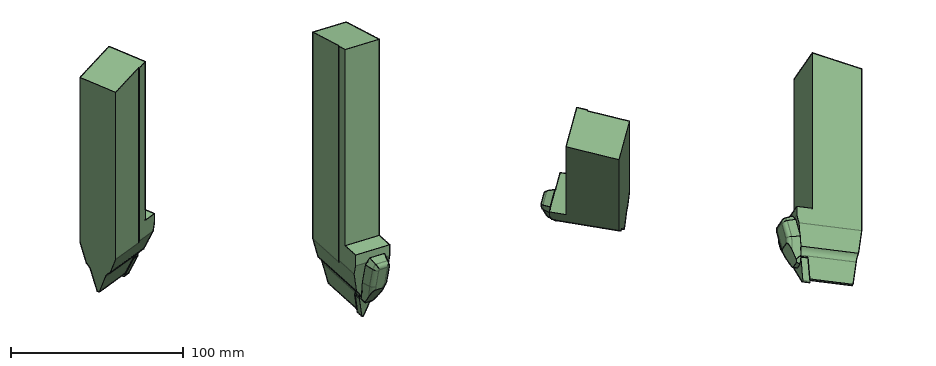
import cadquery as cq
import math

TOTAL_LENGTH = 171.4
WIDTH = 24.8
HALF_WIDTH = WIDTH / 2
SHANK_DEPTH = 31.7
HEAD_DEPTH = 41.6
LEDGE_Z = 47.8
RELIEF_DEPTH = 0.5
RELIEF_REACH = 25.2

TILT = 14.0
TILT_SIN = math.sin(math.radians(TILT))
TILT_COS = math.cos(math.radians(TILT))

POINT_ANGLE = 35.0
HALF_POINT = math.radians(POINT_ANGLE / 2)
INSERT_CIRCLE = 9.53
INSERT_THICKNESS = 4.8
INSERT_POINT_Y = 32.0
NOSE_RADIUS = 0.7

SEAT_REACH = INSERT_POINT_Y * TILT_COS
POINT_RISE = INSERT_POINT_Y * TILT_SIN
HALF_INSERT = INSERT_CIRCLE / 2 / math.sin(HALF_POINT)
SHARP_OFFSET = NOSE_RADIUS / math.sin(HALF_POINT) - NOSE_RADIUS
INSERT_CENTER_RISE = POINT_RISE + HALF_INSERT - SHARP_OFFSET

NOSE_RISE = 10.0
NOSE_HALF_WIDTH = 0.7
COVE_HALF_WIDTH = 5.0
COVE_LOW_RISE = NOSE_RISE + (COVE_HALF_WIDTH - NOSE_HALF_WIDTH) / math.tan(HALF_POINT)
COVE_TOP_HALF_WIDTH = 8.0
COVE_TOP_RISE = 27.8
COVE_SAG = 0.5
SHOULDER_RISE = COVE_TOP_RISE + (HALF_WIDTH - COVE_TOP_HALF_WIDTH) / math.tan(HALF_POINT)

CLAMP_LEFT = -10.3
CLAMP_RIGHT = 5.0
CLAMP_HEIGHT = 7.2
CLAMP_DRAFT = 17.0
CLAMP_TIP_LEFT = -4.1
CLAMP_TIP_RIGHT = 3.3
CLAMP_TIP_RISE = 18.8
CLAMP_NOSE_RISE = 23.1
CLAMP_NOSE_CORNER = 1.9
CLAMP_TIP_HEIGHT = 2.0
CLAMP_TAPER_RISE = 33.4
CLAMP_SLOPE_RISE = 31.4
CLAMP_CORNER_RISE = 46.0
CLAMP_TOP_RISE = 50.2
CLAMP_CORNER_WIDTH = 2.2
CLAMP_EDGE_RADIUS = 3.0

BLANK_REACH = 102.8


def tilted_plane(reach):
    """Plane across the tilted direction: x to +X, y up the seat, normal to the front."""
    origin = (0, reach * TILT_COS, -reach * TILT_SIN)
    return cq.Plane(origin=origin, xDir=(1, 0, 0), normal=(0, -TILT_COS, TILT_SIN))


def make_side_profile():
    """Shank and head outline in YZ, extruded over the full width."""
    ledge_low_z = LEDGE_Z - (HEAD_DEPTH - SHANK_DEPTH) * TILT_SIN / TILT_COS
    seat_start_z = (HEAD_DEPTH * TILT_COS - SEAT_REACH) / TILT_SIN
    return (
        cq.Workplane("YZ", origin=(-HALF_WIDTH, 0, 0))
        .moveTo(0, 0)
        .lineTo(0, TOTAL_LENGTH)
        .lineTo(SHANK_DEPTH, TOTAL_LENGTH)
        .lineTo(SHANK_DEPTH, LEDGE_Z)
        .lineTo(HEAD_DEPTH, ledge_low_z)
        .lineTo(HEAD_DEPTH, seat_start_z)
        .lineTo(INSERT_POINT_Y, 0)
        .close()
        .extrude(WIDTH)
    )


def cove_middle(side):
    """Middle point of the concave arc between the two wedge flanks."""
    run = COVE_TOP_HALF_WIDTH - COVE_HALF_WIDTH
    rise = COVE_TOP_RISE - COVE_LOW_RISE
    chord = math.hypot(run, rise)
    x = (COVE_TOP_HALF_WIDTH + COVE_HALF_WIDTH) / 2 - COVE_SAG * rise / chord
    y = (COVE_TOP_RISE + COVE_LOW_RISE) / 2 + COVE_SAG * run / chord
    return (side * x, y)


def make_wedge():
    """Pointed outline of the holder, extruded along the tilted direction."""
    top = TOTAL_LENGTH + BLANK_REACH
    return (
        cq.Workplane(tilted_plane(BLANK_REACH))
        .moveTo(-HALF_WIDTH, top)
        .lineTo(-HALF_WIDTH, SHOULDER_RISE)
        .lineTo(-COVE_TOP_HALF_WIDTH, COVE_TOP_RISE)
        .threePointArc(cove_middle(-1), (-COVE_HALF_WIDTH, COVE_LOW_RISE))
        .lineTo(-NOSE_HALF_WIDTH, NOSE_RISE)
        .lineTo(NOSE_HALF_WIDTH, NOSE_RISE)
        .lineTo(COVE_HALF_WIDTH, COVE_LOW_RISE)
        .threePointArc(cove_middle(1), (COVE_TOP_HALF_WIDTH, COVE_TOP_RISE))
        .lineTo(HALF_WIDTH, SHOULDER_RISE)
        .lineTo(HALF_WIDTH, top)
        .close()
        .extrude(2 * BLANK_REACH)
    )


def make_relief():
    """Shallow step removed from the +X side beside the front face."""
    return (
        cq.Workplane("XY", origin=(HALF_WIDTH - RELIEF_DEPTH, 0, 0))
        .box(RELIEF_DEPTH, RELIEF_REACH, TOTAL_LENGTH, centered=False)
    )


def make_clamp():
    """Clamp standing on the seat: a drafted plan trimmed to the side profile."""
    seat_origin = (0, SEAT_REACH * TILT_COS, -SEAT_REACH * TILT_SIN)
    outward = cq.Plane(origin=seat_origin, xDir=(-1, 0, 0), normal=(0, TILT_COS, -TILT_SIN))
    clamp = (
        cq.Workplane(outward)
        .polyline([
            (-CLAMP_TIP_RIGHT, CLAMP_TIP_RISE),
            (-CLAMP_RIGHT, CLAMP_TAPER_RISE),
            (-CLAMP_RIGHT, CLAMP_CORNER_RISE),
            (CLAMP_CORNER_WIDTH - CLAMP_RIGHT, CLAMP_TOP_RISE),
            (-CLAMP_CORNER_WIDTH - CLAMP_LEFT, CLAMP_TOP_RISE),
            (-CLAMP_LEFT, CLAMP_CORNER_RISE),
            (-CLAMP_LEFT, CLAMP_TAPER_RISE),
            (-CLAMP_TIP_LEFT, CLAMP_TIP_RISE),
        ])
        .close()
        .extrude(CLAMP_HEIGHT, taper=CLAMP_DRAFT)
        .faces(cq.selectors.DirectionMinMaxSelector(outward.zDir, True))
        .edges()
        .fillet(CLAMP_EDGE_RADIUS)
    )
    side = cq.Plane(origin=seat_origin, xDir=(0, TILT_SIN, TILT_COS), normal=(-1, 0, 0))
    slope_cut = (
        cq.Workplane(side)
        .polyline([
            (CLAMP_SLOPE_RISE, CLAMP_HEIGHT),
            (CLAMP_TIP_RISE, CLAMP_TIP_HEIGHT),
            (CLAMP_TIP_RISE, CLAMP_HEIGHT),
        ])
        .close()
        .extrude(WIDTH, both=True)
    )
    clamp = clamp.cut(slope_cut)
    for tip_x, inward in ((-CLAMP_TIP_RIGHT, 1), (-CLAMP_TIP_LEFT, -1)):
        corner_cut = (
            cq.Workplane(outward)
            .polyline([
                (tip_x + inward * CLAMP_NOSE_CORNER, CLAMP_TIP_RISE),
                (tip_x - inward * CLAMP_NOSE_CORNER, CLAMP_TIP_RISE),
                (tip_x - inward * CLAMP_NOSE_CORNER, CLAMP_NOSE_RISE),
            ])
            .close()
            .extrude(CLAMP_HEIGHT)
        )
        clamp = clamp.cut(corner_cut)
    return clamp


def make_insert():
    """Rhombic insert with rounded points, its outer face flush with the seat."""
    seat = tilted_plane(SEAT_REACH)
    half_short = HALF_INSERT * math.tan(HALF_POINT)
    middle_slice = cq.selectors.BoxSelector(
        (-NOSE_RADIUS, -BLANK_REACH, -BLANK_REACH), (NOSE_RADIUS, BLANK_REACH, BLANK_REACH)
    )
    return (
        cq.Workplane(seat)
        .center(0, INSERT_CENTER_RISE)
        .polyline([(0, -HALF_INSERT), (half_short, 0), (0, HALF_INSERT), (-half_short, 0)])
        .close()
        .extrude(INSERT_THICKNESS)
        .edges(cq.selectors.ParallelDirSelector(seat.zDir))
        .edges(middle_slice)
        .fillet(NOSE_RADIUS)
    )


insert = make_insert()
holder = make_side_profile().intersect(make_wedge()).cut(make_relief())
holder = holder.union(make_clamp()).cut(insert)

result = cq.Compound.makeCompound([holder.val(), insert.val()])